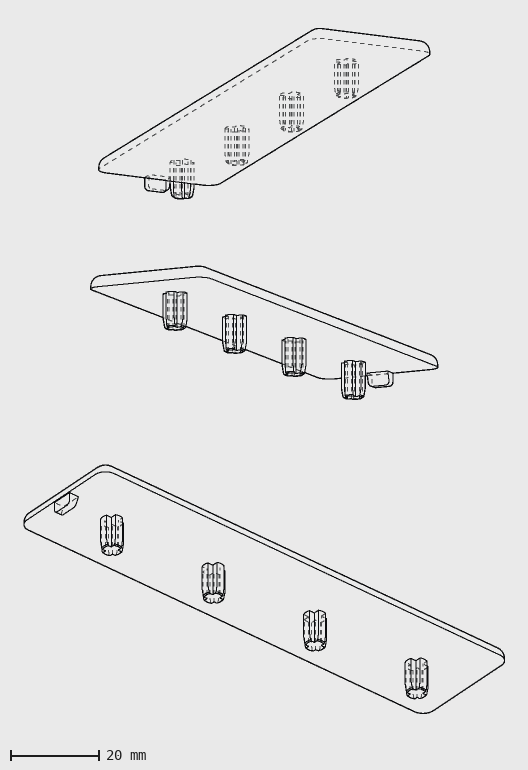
import cadquery as cq

plate_length = 120.0
plate_width = 30.0
plate_thickness = 3.0
corner_radius = 3.0
top_edge_radius = 2.4

total_height = 11.0
post_count = 4
post_spacing = plate_length / post_count
post_length = total_height - plate_thickness
post_diameter = 5.4
rib_thickness = 2.0
tip_length = 2.0
tip_inset = 0.4
tip_end_chamfer = 0.2

tab_width = 5.3
tab_root_depth = 2.6
tab_end_depth = 1.8
tab_height = 3.0
tab_end_gap = 0.2
tab_corner_radius = 1.0


def make_plate():
    """Rounded rectangular plate, underside at Z = 0, with a rounded top edge."""
    plate = cq.Workplane("XY").box(plate_width, plate_length, plate_thickness, centered=(True, True, False))
    plate = plate.edges("|Z").fillet(corner_radius)
    return plate.faces(">Z").edges().fillet(top_edge_radius)


def make_post():
    """Plus-shaped post with round rib ends and a tapered lower tip."""
    envelope = cq.Workplane("XY").circle(post_diameter / 2).extrude(-post_length)
    envelope = envelope.faces("<Z").chamfer(tip_length, tip_inset)
    envelope = envelope.faces("<Z").chamfer(tip_end_chamfer)
    rib = cq.Workplane("XY").rect(post_diameter, rib_thickness).extrude(-post_length)
    cross = rib.union(rib.rotate((0, 0, 0), (0, 0, 1), 90))
    return envelope.intersect(cross)


def make_tab():
    """Tab with an upright outer face, a sloping inner face and rounded bottom corners."""
    outer_y = tab_end_gap - plate_length / 2
    profile = [
        (outer_y, 0),
        (outer_y + tab_root_depth, 0),
        (outer_y + tab_end_depth, -tab_height),
        (outer_y, -tab_height),
    ]
    tab = cq.Workplane("YZ").polyline(profile).close().extrude(tab_width / 2, both=True)
    return tab.faces("<Z").edges("|Y").fillet(tab_corner_radius)


result = make_plate().union(make_tab())
post = make_post()
for index in range(post_count):
    post_y = (index - (post_count - 1) / 2) * post_spacing
    result = result.union(post.translate((0, post_y, 0)))